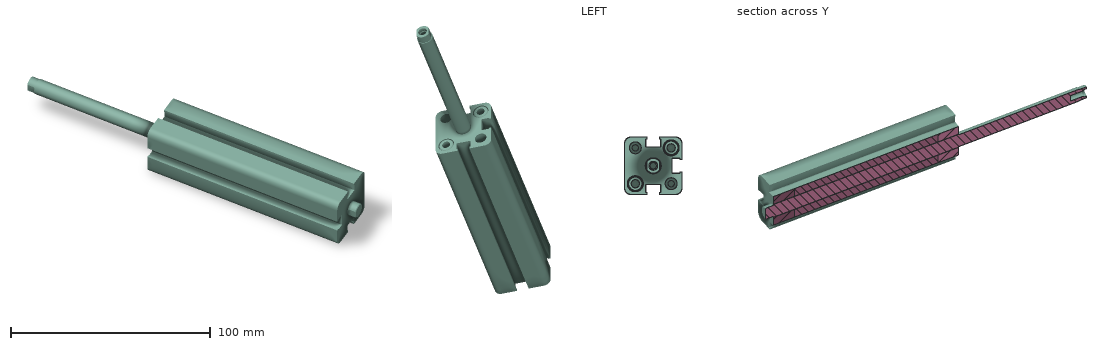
import cadquery as cq


total_length = 187.0
body_start = 74.5
body_length = 108.0
cap_length = 12.3
body_end = body_start + body_length
tube_start = body_start + cap_length
tube_length = body_length - 2 * cap_length
rear_cap_start = body_end - cap_length

body_side = 29.0
half_side = body_side / 2
corner_radius = 3.5
slot_mouth_width = 6.2
slot_width = 7.3
slot_depth = 5.0
slot_lip = 1.1
slot_angles = (0, 90, 180)

rod_diameter = 8.0
tip_diameter = 7.5
tip_length = 4.3
tip_flats = 6.4
flat_fillet = 0.7
rear_tip_chamfer = 0.4
rod_bore_diameter = 3.2
rod_bore_depth = 9.4
rod_counterbore_diameter = 4.5
rod_counterbore_depth = 1.9

corner_offset = 9.0
mount_hole_diameter = 6.0
mount_hole_depth = 7.5
pilot_diameter = 3.2
screw_recess_diameter = 8.0
screw_recess_depth = 1.9
screw_head_diameter = 7.5
screw_head_chamfer = 0.4
screw_socket_diameter = 4.1
screw_socket_depth = 5.6


def cylinder_x(diameter, start, length, y=0.0, z=0.0):
    """Cylinder along +X from the given start."""
    return cq.Workplane("YZ", origin=(start, y, z)).circle(diameter / 2).extrude(length)


def slot_cutter(start, length):
    """T-shaped slot opening through the +Z side."""
    mouth_height = half_side - slot_depth / 2
    undercut_height = slot_depth - slot_lip
    undercut_centre = half_side - slot_lip - undercut_height / 2
    section = cq.Workplane("YZ", origin=(start, 0, 0))
    mouth = section.center(0, mouth_height).rect(slot_mouth_width, slot_depth).extrude(length)
    undercut = section.center(0, undercut_centre).rect(slot_width, undercut_height).extrude(length)
    return mouth.union(undercut)


def profile_block(start, length):
    """Length of the slotted square profile with a central hole that fits the rod."""
    section = cq.Workplane("YZ", origin=(start, 0, 0))
    block = section.rect(body_side, body_side).extrude(length).edges("|X").fillet(corner_radius)
    cutter = slot_cutter(start, length)
    for angle in slot_angles:
        block = block.cut(cutter.rotate((0, 0, 0), (1, 0, 0), angle))
    return block.cut(cylinder_x(rod_diameter, start, length))


def mounting_hole(y, z):
    """Wide blind hole with a narrow pilot that continues through the cap."""
    hole = cylinder_x(mount_hole_diameter, body_start, mount_hole_depth, y, z)
    return hole.union(cylinder_x(pilot_diameter, body_start, cap_length, y, z))


def screw_recess(y, z):
    """Ring-shaped recess that leaves a chamfered screw head with a round socket."""
    head = cylinder_x(screw_head_diameter, body_start, screw_recess_depth, y, z)
    head = head.faces("<X").chamfer(screw_head_chamfer)
    ring = cylinder_x(screw_recess_diameter, body_start, screw_recess_depth, y, z).cut(head)
    return ring.union(cylinder_x(screw_socket_diameter, body_start, screw_socket_depth, y, z))


def make_front_cap():
    """Cap with mounting holes on one diagonal and screw heads on the other."""
    cap = profile_block(body_start, cap_length)
    for side in (1, -1):
        cap = cap.cut(mounting_hole(side * corner_offset, side * corner_offset))
        cap = cap.cut(screw_recess(-side * corner_offset, side * corner_offset))
    return cap


def flats_cutter(end, inward):
    """Block above one rod flat, round at its inner end; inward is the X direction away from the tip."""
    flat_y = tip_flats / 2
    outer_y = flat_y + flat_fillet
    shoulder = end + inward * tip_length
    return (
        cq.Workplane("XY", origin=(0, 0, -rod_diameter / 2))
        .moveTo(end, flat_y)
        .lineTo(shoulder - inward * flat_fillet, flat_y)
        .tangentArcPoint((shoulder, outer_y), relative=False)
        .lineTo(end, outer_y)
        .close()
        .extrude(rod_diameter)
    )


def rod_bore():
    """Blind bore with a counterbore in the front end of the rod."""
    counterbore = cylinder_x(rod_counterbore_diameter, 0, rod_counterbore_depth)
    return counterbore.union(cylinder_x(rod_bore_diameter, 0, rod_bore_depth))


def make_rod():
    """Through rod with a narrower tip at each end; each tip has two wrench flats."""
    front_tip = cylinder_x(tip_diameter, 0, tip_length)
    rear_tip = cylinder_x(tip_diameter, body_end, total_length - body_end)
    rear_tip = rear_tip.faces(">X").chamfer(rear_tip_chamfer)
    rod = cylinder_x(rod_diameter, tip_length, body_end - tip_length)
    rod = rod.union(front_tip).union(rear_tip)
    for end, inward in ((0, 1), (total_length, -1)):
        flats = flats_cutter(end, inward)
        rod = rod.cut(flats).cut(flats.mirror("XZ"))
    return rod.cut(rod_bore())


front_cap = make_front_cap()
tube = profile_block(tube_start, tube_length)
rear_cap = profile_block(rear_cap_start, cap_length)
piston_rod = make_rod()

result = cq.Compound.makeCompound([front_cap.val(), tube.val(), rear_cap.val(), piston_rod.val()])